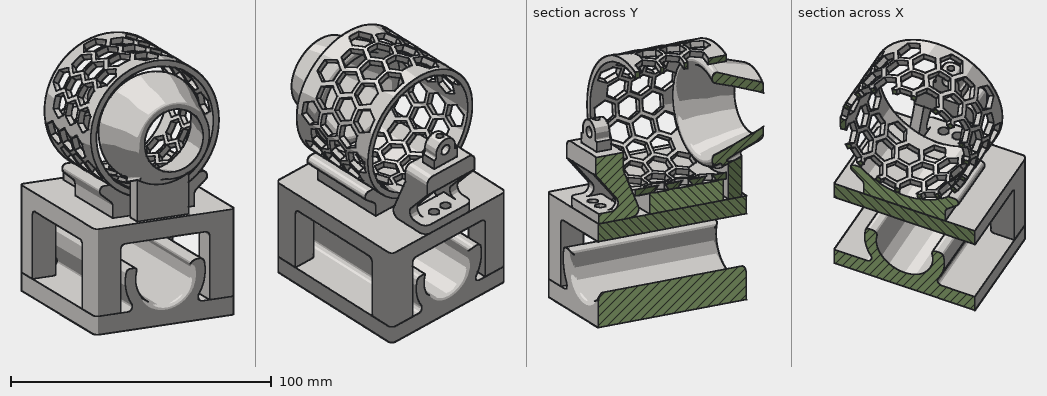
import cadquery as cq
import math

BASE_LENGTH = 65.0
BASE_WIDTH = 60.0
PLATE_HEIGHT = 7.5
FRAME_TOP = 42.5
CORNER_RADIUS = 2.0

TOTAL_HEIGHT = 103.7
TOLERANCE = 0.01
TUBE_DIAMETER = 55.0
TUBE_RADIUS = TUBE_DIAMETER / 2
AXIS_Z = TOTAL_HEIGHT - TUBE_RADIUS

CLIP_AXIS_Z = 19.7
CLIP_OUTER_RADIUS = 17.1
CLIP_INNER_RADIUS = 11.9
CLIP_TOP = 24.7
CLIP_TIP_FILLET = 2.0
CLIP_FOOT_FILLET = 2.0
CLIP_MOUTH_FILLET = 2.0

LEG = 11.0
WINDOW_TOP = 35.1
WINDOW_FILLET = 2.0
LEG_INNER_FILLET = 2.5

TUBE_BORE = 50.0
TUBE_START = -16.4
TUBE_LENGTH = 40.0
HEX_FLATS = 8.9
HEX_OVERRUN = 1.0
HEX_PITCH = 10.5
HEX_ROW_DRIFT = -0.026
HEX_PER_ROW = 3
HEX_EDGE_MARGIN = 6.7
HEX_ROWS = 18
HEX_ROW_STEP = 19.6
HEX_FIRST_ANGLE = 11.4

CRADLE_START = -10.1
CRADLE_LENGTH = 32.5
CRADLE_WIDTH = 35.0
HORN_SPAN = 46.0
HORN_TOP = 56.0
HORN_SLOPE = 40.0
HORN_RADIUS = 2.0
CRADLE_ROOT_FILLET = 2.5

CUP_START = 17.3
CUP_END = 40.0
CUP_TAPER = math.radians(17.4)
BORE_TAPER = math.radians(14.2)
LIP_RADIUS = 2.0
LIP_CENTRE_RADIUS = 19.8
LIP_CENTRE_X = CUP_START + LIP_RADIUS
LIP_END = 20.3
LIP_OUTER_EDGE_RADIUS = LIP_CENTRE_RADIUS + math.sqrt(LIP_RADIUS**2 - (LIP_END - LIP_CENTRE_X) ** 2)
CUP_END_FILLET = 1.3
PAD_THICKNESS = 1.9
PAD_START = 21.8
PAD_END = 30.6
PAD_HALF_ANGLE = 30.0
PAD_ROOT = 0.5
PAD_FILLET = 1.0

STAND_START = 24.5
STAND_THICKNESS = 6.0
STAND_WIDTH = 22.0
STAND_BLANK_HEIGHT = 20.7

ARM_WIDTH = 25.0
ARM_GAP = 17.0
HEAD_START = -33.6
HEAD_LENGTH = 12.2
HEAD_BOTTOM = 62.3
HEAD_TOP = 70.0
FOOT_THICKNESS = 4.0
FOOT_TOP = FRAME_TOP + FOOT_THICKNESS
FOOT_LENGTH = 12.0
HEEL_X = -13.2
ARM_CORNER_FILLET = 3.0
HEEL_FILLET = 3.0
INSTEP_FILLET = 3.0
FOOT_HOLE = 4.1
FOOT_HOLE_SPACING = 6.0
FOOT_HOLE_X = -27.4

EYE_LENGTH = 6.3
EYE_BASE_WIDTH = 12.0
EYE_RADIUS = 5.0
EYE_NECK_FILLET = 1.0
EYE_SHOULDER_Z = 74.0
EYE_BORE = 4.3
EYE_SCREW_HOLE = 2.8


def x_prism(profile, start, length):
    """Extrude a closed (Y, Z) sketch along +X from the given X."""
    return profile.extrude(length).translate((start, 0, 0))


def x_cylinder(radius, start, length, axis_z=AXIS_Z):
    return x_prism(cq.Workplane("YZ").center(0, axis_z).circle(radius), start, length)


def nearest_edge(x, y, z):
    """Selector for the edge whose middle is nearest to the given point."""
    return cq.selectors.NearestToPointSelector((x, y, z))


def rounded_block(bottom, top):
    """Block with the base's outline and rounded upright corners, between two Z levels."""
    return (
        cq.Workplane("XY")
        .workplane(offset=bottom)
        .rect(BASE_LENGTH, BASE_WIDTH)
        .extrude(top - bottom)
        .edges("|Z")
        .fillet(CORNER_RADIUS)
    )


def box_from(start_x, bottom_z, length, width, height):
    """Box centred on Y = 0, starting at the given X and Z."""
    box = cq.Workplane("XY").box(length, width, height, centered=(False, True, False))
    return box.translate((start_x, 0, bottom_z))


def clip_mouth_flare():
    """Ring that rounds the edge of the clip's bore at its -X end."""
    face_x = -BASE_LENGTH / 2
    deep_x = face_x + CLIP_MOUTH_FILLET
    inside = CLIP_INNER_RADIUS - CLIP_MOUTH_FILLET
    outside = CLIP_INNER_RADIUS + CLIP_MOUTH_FILLET
    return (
        cq.Workplane("XZ")
        .moveTo(face_x, inside)
        .lineTo(face_x, outside)
        .radiusArc((deep_x, CLIP_INNER_RADIUS), -CLIP_MOUTH_FILLET)
        .lineTo(deep_x, inside)
        .close()
        .revolve(360, (0, 0), (1, 0))
        .translate((0, 0, CLIP_AXIS_Z))
    )


def make_base():
    start = -BASE_LENGTH / 2
    ring = x_cylinder(CLIP_OUTER_RADIUS, start, BASE_LENGTH, CLIP_AXIS_Z)
    ring = ring.intersect(box_from(start, 0, BASE_LENGTH, BASE_WIDTH, CLIP_TOP))
    base = rounded_block(0, PLATE_HEIGHT).union(ring)

    foot_y = math.sqrt(CLIP_OUTER_RADIUS**2 - (CLIP_AXIS_Z - PLATE_HEIGHT) ** 2)
    for side in (-1, 1):
        foot_edge = nearest_edge(0, side * foot_y, PLATE_HEIGHT)
        base = base.edges("|X").edges(foot_edge).fillet(CLIP_FOOT_FILLET)

    base = base.cut(x_cylinder(CLIP_INNER_RADIUS, start, BASE_LENGTH, CLIP_AXIS_Z))
    base = base.edges("|X").edges(">Z").fillet(CLIP_TIP_FILLET)
    flare = clip_mouth_flare()
    return base.cut(flare).cut(flare.mirror("YZ"))


def make_frame():
    window_height = WINDOW_TOP - PLATE_HEIGHT
    bottom_centred = (True, True, False)
    run = 2 * BASE_LENGTH
    lengthwise = cq.Workplane("XY").box(run, BASE_WIDTH - 2 * LEG, window_height, bottom_centred)
    crosswise = cq.Workplane("XY").box(BASE_LENGTH - 2 * LEG, run, window_height, bottom_centred)
    opening = lengthwise.union(crosswise)
    for side_x in (-1, 1):
        for side_y in (-1, 1):
            corner_x = side_x * (BASE_LENGTH / 2 - LEG)
            corner_y = side_y * (BASE_WIDTH / 2 - LEG)
            leg_edge = nearest_edge(corner_x, corner_y, window_height / 2)
            opening = opening.edges("|Z").edges(leg_edge).fillet(LEG_INNER_FILLET)
    opening = opening.faces(">Z").edges().fillet(WINDOW_FILLET)
    return rounded_block(PLATE_HEIGHT, FRAME_TOP).cut(opening.translate((0, 0, PLATE_HEIGHT)))


def hexagon_outline(radius):
    """Corners of a hexagon at the given radius, shrunk around the tube in proportion to that radius."""
    corner_radius = HEX_FLATS / math.sqrt(3)
    squeeze = radius / TUBE_RADIUS
    angles = [math.radians(60 * k) for k in range(6)]
    return [(corner_radius * math.sin(a), corner_radius * math.cos(a) * squeeze) for a in angles]


def hexagon_cutter():
    """Cutter pointing along -Y from the tube axis, so that each hole's walls run radially."""
    inner = TUBE_BORE / 2 - HEX_OVERRUN
    outer = TUBE_RADIUS + HEX_OVERRUN
    return (
        cq.Workplane("XZ")
        .workplane(offset=inner)
        .polyline(hexagon_outline(inner))
        .close()
        .workplane(offset=outer - inner)
        .polyline(hexagon_outline(outer))
        .close()
        .loft(ruled=True)
    )


def make_tube():
    tube = x_cylinder(TUBE_RADIUS, TUBE_START, TUBE_LENGTH)
    tube = tube.cut(x_cylinder(TUBE_BORE / 2, TUBE_START, TUBE_LENGTH))
    cutter = hexagon_cutter()
    cutters = []
    for row in range(HEX_ROWS):
        row_cutter = cutter.rotate((0, 0, 0), (1, 0, 0), -HEX_FIRST_ANGLE - row * HEX_ROW_STEP)
        stagger = HEX_PITCH / 2 if row % 2 == 0 else 0
        row_x = TUBE_START + HEX_EDGE_MARGIN + stagger + row * HEX_ROW_DRIFT
        for column in range(HEX_PER_ROW):
            cutters.append(row_cutter.translate((row_x + column * HEX_PITCH, 0, AXIS_Z)).val())
    return cq.Workplane(tube.val().cut(*cutters))


def make_cradle():
    half = CRADLE_WIDTH / 2
    slope = math.radians(HORN_SLOPE)
    round_y = HORN_SPAN / 2 - HORN_RADIUS
    round_z = HORN_TOP - HORN_RADIUS
    tip = (round_y + HORN_RADIUS, round_z)
    under = (round_y + HORN_RADIUS * math.sin(slope), round_z - HORN_RADIUS * math.cos(slope))
    root = (half, under[1] - (under[0] - half) * math.tan(slope))
    half_profile = (
        cq.Workplane("YZ")
        .moveTo(0, FRAME_TOP)
        .lineTo(half, FRAME_TOP)
        .lineTo(*root)
        .lineTo(*under)
        .threePointArc(tip, (round_y, HORN_TOP))
        .lineTo(0, HORN_TOP)
        .close()
    )
    half_cradle = x_prism(half_profile, CRADLE_START, CRADLE_LENGTH)
    root_edge = nearest_edge(CRADLE_START + CRADLE_LENGTH / 2, *root)
    half_cradle = half_cradle.edges("|X").edges(root_edge).fillet(CRADLE_ROOT_FILLET)
    cradle = half_cradle.union(half_cradle.mirror("XZ"))
    return cradle.cut(x_cylinder(TUBE_RADIUS, CRADLE_START, CRADLE_LENGTH))


def cone_radius(x):
    """Radius of the cup's outer cone at the given X."""
    return LIP_OUTER_EDGE_RADIUS - (x - LIP_END) * math.tan(CUP_TAPER)


def revolve_about_axis(profile, angle=360):
    """Revolve a closed (X, Z) profile, drawn around Z = 0, about the tube axis."""
    return profile.close().revolve(angle, (0, 0), (1, 0)).translate((0, 0, AXIS_Z))


def make_cup_shell():
    inner_x = LIP_CENTRE_X - LIP_RADIUS * math.sin(BORE_TAPER)
    inner_radius = LIP_CENTRE_RADIUS - LIP_RADIUS * math.cos(BORE_TAPER)
    end_bore_radius = inner_radius - (CUP_END - inner_x) * math.tan(BORE_TAPER)
    profile = (
        cq.Workplane("XZ")
        .moveTo(inner_x, -inner_radius)
        .threePointArc((CUP_START, -LIP_CENTRE_RADIUS), (LIP_END, -LIP_OUTER_EDGE_RADIUS))
        .lineTo(CUP_END, -cone_radius(CUP_END))
        .lineTo(CUP_END, -end_bore_radius)
    )
    shell = revolve_about_axis(profile).rotate((0, 0, AXIS_Z), (1, 0, AXIS_Z), 180)
    return shell.edges(">X").edges(cq.selectors.RadiusNthSelector(1)).fillet(CUP_END_FILLET)


def pad_cone(start, end, depth, angle):
    """Part of a conical layer that covers the cup's cone, reaching the given depth below it."""
    profile = cq.Workplane("XZ").polyline(
        [
            (start, depth - cone_radius(start)),
            (start, -cone_radius(start) - PAD_THICKNESS),
            (end, -cone_radius(end) - PAD_THICKNESS),
            (end, depth - cone_radius(end)),
        ]
    )
    axis = (0, 0, AXIS_Z)
    return revolve_about_axis(profile, angle).rotate(axis, (1, 0, AXIS_Z), -angle / 2)


class PadRootSelector(cq.Selector):
    """Edges where the pad rises from the cup's cone."""

    def filter(self, objects):
        found = []
        for edge in objects:
            points = [edge.startPoint(), edge.endPoint()]
            on_cone = all(
                abs(math.hypot(p.y, p.z - AXIS_Z) - cone_radius(p.x)) < TOLERANCE
                and PAD_START - TOLERANCE < p.x < PAD_END + TOLERANCE
                for p in points
            )
            if on_cone:
                found.append(edge)
        return found


def make_cup():
    pad = pad_cone(PAD_START, PAD_END, PAD_ROOT, 2 * PAD_HALF_ANGLE)
    cup = make_cup_shell().union(pad)
    return cup.edges(PadRootSelector()).fillet(PAD_FILLET)


def make_stand():
    stand = box_from(STAND_START, FRAME_TOP, STAND_THICKNESS, STAND_WIDTH, STAND_BLANK_HEIGHT)
    return stand.cut(pad_cone(PAD_START, CUP_END, cone_radius(CUP_END), 360))


def make_eye():
    start = HEAD_START + (HEAD_LENGTH - EYE_LENGTH) / 2
    half_base = EYE_BASE_WIDTH / 2
    neck_z = EYE_SHOULDER_Z + EYE_NECK_FILLET
    half_neck = math.sqrt(EYE_RADIUS**2 - (AXIS_Z - neck_z) ** 2)
    profile = (
        cq.Workplane("YZ")
        .moveTo(-half_base, HEAD_TOP)
        .lineTo(half_base, HEAD_TOP)
        .lineTo(half_base, EYE_SHOULDER_Z)
        .lineTo(half_neck + EYE_NECK_FILLET, EYE_SHOULDER_Z)
        .radiusArc((half_neck, neck_z), EYE_NECK_FILLET)
        .threePointArc((0, AXIS_Z + EYE_RADIUS), (-half_neck, neck_z))
        .radiusArc((-half_neck - EYE_NECK_FILLET, EYE_SHOULDER_Z), EYE_NECK_FILLET)
        .lineTo(-half_base, EYE_SHOULDER_Z)
        .close()
    )
    eye = x_prism(profile, start, EYE_LENGTH)
    eye = eye.cut(x_cylinder(EYE_BORE / 2, start, EYE_LENGTH))
    screw_hole = cq.Workplane("XY").circle(EYE_SCREW_HOLE / 2).extrude(EYE_RADIUS)
    return eye.cut(screw_hole.translate((start + EYE_LENGTH / 2, 0, AXIS_Z)))


def arm_blank():
    """Side profile of foot, leg and head, extruded over the full width and rounded."""
    foot_start = -BASE_LENGTH / 2
    foot_end = foot_start + FOOT_LENGTH
    head_end = HEAD_START + HEAD_LENGTH
    blank = (
        cq.Workplane("XZ")
        .polyline(
            [
                (foot_start, FRAME_TOP),
                (HEEL_X, FRAME_TOP),
                (head_end, HEAD_BOTTOM),
                (head_end, HEAD_TOP),
                (HEAD_START, HEAD_TOP),
                (HEAD_START, HEAD_BOTTOM),
                (foot_end, FOOT_TOP),
                (foot_start, FOOT_TOP),
            ]
        )
        .close()
        .extrude(ARM_WIDTH / 2, both=True)
    )
    blank = blank.edges(nearest_edge(HEEL_X, 0, FRAME_TOP)).fillet(HEEL_FILLET)
    blank = blank.edges(nearest_edge(foot_end, 0, FOOT_TOP)).fillet(INSTEP_FILLET)
    blank = blank.edges("|X and >Z").fillet(ARM_CORNER_FILLET)
    for side in (-1, 1):
        toe_edge = nearest_edge(foot_start, side * ARM_WIDTH / 2, (FRAME_TOP + FOOT_TOP) / 2)
        blank = blank.edges("|Z").edges(toe_edge).fillet(ARM_CORNER_FILLET)
    return blank


def make_arm():
    foot_end = FOOT_LENGTH - BASE_LENGTH / 2
    gap_length = HEEL_X - HEAD_START
    over_foot = box_from(HEAD_START, FOOT_TOP, gap_length, ARM_GAP, HEAD_BOTTOM - FOOT_TOP)
    behind_foot = box_from(foot_end, FRAME_TOP, gap_length, ARM_GAP, HEAD_BOTTOM - FRAME_TOP)
    holes = (
        cq.Workplane("XY")
        .workplane(offset=FRAME_TOP)
        .pushPoints([(FOOT_HOLE_X, -FOOT_HOLE_SPACING / 2), (FOOT_HOLE_X, FOOT_HOLE_SPACING / 2)])
        .circle(FOOT_HOLE / 2)
        .extrude(FOOT_THICKNESS)
    )
    return arm_blank().cut(over_foot).cut(behind_foot).cut(holes).union(make_eye())


base = make_base()
frame = make_frame()
tube = make_tube()
cradle = make_cradle()
cup = make_cup()
stand = make_stand()
arm = make_arm()
result = cq.Compound.makeCompound(
    [base.val(), frame.val(), tube.val(), cradle.val(), cup.val(), stand.val(), arm.val()]
)